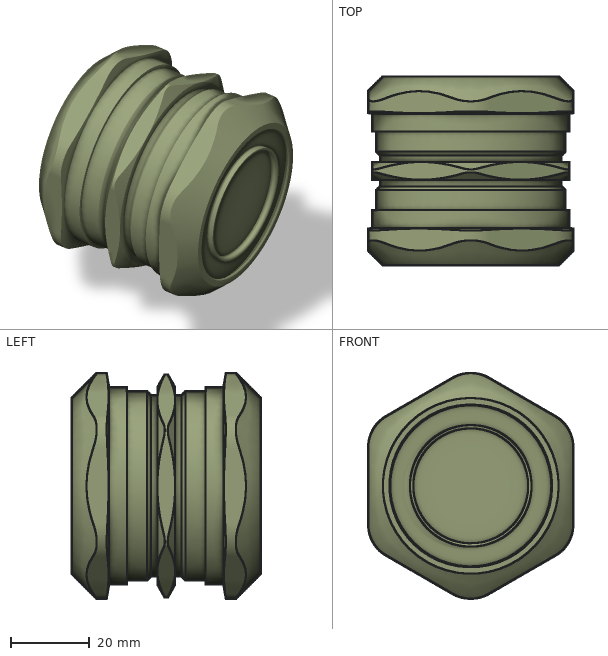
import cadquery as cq
import math

half_length = 47.9 / 2

hex_sides = 6

mid_hex_flats = 50.0
mid_hex_thickness = 4.5
mid_hex_corner_radius = 4.0
mid_hex_chamfer_angle = 30.0

neck_diameter = 46.0
neck_end = 3.9
shoulder_diameter = 48.0
shoulder_chamfer = 1.0
shoulder_end = 9.95
flange_diameter = 50.0

nut_flats = 52.0
nut_inner_end = 14.45
nut_corner_radius = 9.2
nut_face_diameter = 44.5
nut_outer_chamfer_angle = 45.0
nut_inner_chamfer_angle = 10.0

lip_diameter = 40.8
lip_thickness = 0.5
lip_chamfer = 0.2
cavity_diameter = 43.0
cavity_depth = 1.65
cavity_floor = half_length - cavity_depth

rim_diameter = 30.8
rim_bore_diameter = 29.1
rim_inner_fillet = 0.6

bulge_diameter = 30.0
bulge_center_x = -1.9
bulge_center_z = -0.9
bulge_height = 0.4
bulge_taper = 75.0

trim_radius = 40.0


def along_axis(start):
    """Workplane normal to +Y at the given Y, with local x = +X and local y = -Z."""
    return cq.Workplane("XZ", origin=(0, start, 0)).transformed(rotate=(180, 0, 0))


def disc(diameter, start, end):
    return along_axis(start).circle(diameter / 2).extrude(end - start)


def revolve(profile):
    """Revolve a closed (radius, y) profile about the Y axis."""
    return cq.Workplane("XY").polyline(profile).close().revolve(360, (0, 0, 0), (0, 1, 0))


def rounded_hexagon(across_flats, corner_radius, start, end):
    """Hexagonal prism along Y with corners on the Z axis and flats facing +/-X."""
    half_sector = math.pi / hex_sides
    across_corners = across_flats / math.cos(half_sector)
    prism = (
        along_axis(start)
        .transformed(rotate=(0, 0, 90))
        .polygon(hex_sides, across_corners)
        .extrude(end - start)
    )
    return prism.edges("|Y").fillet(corner_radius)


def chamfer_envelope(start, start_radius, start_angle, end, end_radius, end_angle):
    """Solid of revolution about Y, coned at both ends.

    Each end face has the given radius; beyond it a cone leans back at the given angle from the face.
    """
    rise_start = (trim_radius - start_radius) * math.tan(math.radians(start_angle))
    rise_end = (trim_radius - end_radius) * math.tan(math.radians(end_angle))
    start_cone = revolve([(0, start), (start_radius, start), (trim_radius, start + rise_start),
                          (trim_radius, end + trim_radius), (0, end + trim_radius)])
    end_cone = revolve([(0, end), (end_radius, end), (trim_radius, end - rise_end),
                        (trim_radius, start - trim_radius), (0, start - trim_radius)])
    return start_cone.intersect(end_cone)


def middle_hexagon():
    half = mid_hex_thickness / 2
    face_radius = mid_hex_flats / 2
    hexagon = rounded_hexagon(mid_hex_flats, mid_hex_corner_radius, -half, half)
    return hexagon.intersect(
        chamfer_envelope(-half, face_radius, mid_hex_chamfer_angle,
                         half, face_radius, mid_hex_chamfer_angle)
    )


def stepped_body():
    neck = disc(neck_diameter, 0, neck_end)
    shoulder = disc(shoulder_diameter, neck_end, shoulder_end).faces("<Y").chamfer(shoulder_chamfer)
    flange = disc(flange_diameter, shoulder_end, nut_inner_end)
    return neck.union(shoulder).union(flange)


def cap_nut():
    hexagon = rounded_hexagon(nut_flats, nut_corner_radius, nut_inner_end, half_length)
    nut = hexagon.intersect(
        chamfer_envelope(nut_inner_end, flange_diameter / 2, nut_inner_chamfer_angle,
                         half_length, nut_face_diameter / 2, nut_outer_chamfer_angle)
    )
    return nut.cut(end_opening()).union(rim())


def end_opening():
    """Space removed from the nut end: chamfered lip bore and the wider cavity behind it."""
    lip_back = half_length - lip_thickness
    lip_bore = disc(lip_diameter, lip_back, half_length)
    lip_radius = lip_diameter / 2
    mouth = revolve([(0, half_length), (lip_radius + lip_chamfer, half_length),
                     (lip_radius, half_length - lip_chamfer), (0, half_length - lip_chamfer)])
    cavity = disc(cavity_diameter, cavity_floor, lip_back)
    return lip_bore.union(mouth).union(cavity)


def rim():
    ring = disc(rim_diameter, cavity_floor, half_length).cut(
        disc(rim_bore_diameter, cavity_floor, half_length)
    )
    inner_edge = cq.selectors.RadiusNthSelector(0)
    return ring.faces(">Y").edges(inner_edge).fillet(rim_inner_fillet)


def front_bulge():
    bulge = (
        cq.Workplane("XZ", origin=(0, -cavity_floor, 0))
        .center(bulge_center_x, bulge_center_z)
        .circle(bulge_diameter / 2)
        .extrude(bulge_height, taper=bulge_taper)
    )
    return bulge.cut(disc(rim_bore_diameter, -half_length, -cavity_floor))


half_gland = stepped_body().union(cap_nut())
front_half = half_gland.mirror("XZ").union(front_bulge())
result = middle_hexagon().union(half_gland).union(front_half)